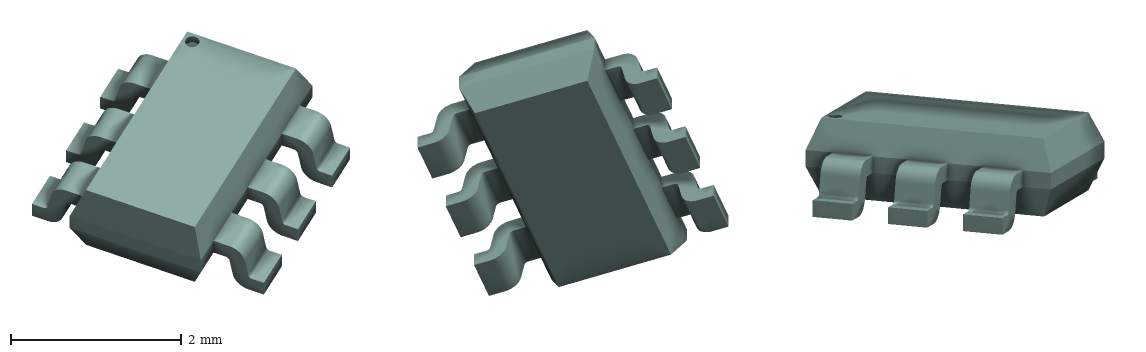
import cadquery as cq
import math

SPAN_X = 3.0
TOTAL_HEIGHT = 1.0

BODY_WIDTH = 1.7
BODY_LENGTH = 3.1
STANDOFF = 0.06
BODY_HEIGHT = TOTAL_HEIGHT - STANDOFF
TAPER_INSET = 0.145

MARK_DIAMETER = 0.17
MARK_DEPTH = 0.1
MARK_INSET = 0.27

LEAD_THICKNESS = 0.2
LEG_THICKNESS = 0.21
LEAD_WIDTH = 0.5
LEAD_PITCH = 0.95
LEADS_PER_SIDE = 3
SHOULDER_LENGTH = 0.198
LEG_TILT = math.radians(11)
OUTER_BEND_RADIUS = 0.205
INNER_BEND_RADIUS = 0.05

BAND_BOTTOM = STANDOFF + (BODY_HEIGHT - LEAD_THICKNESS) / 2
BAND_TOP = BAND_BOTTOM + LEAD_THICKNESS
TAPER_HEIGHT = TOTAL_HEIGHT - BAND_TOP
TAPER_ANGLE = math.degrees(math.atan(TAPER_INSET / TAPER_HEIGHT))


def body_layer(base_z, height, taper=0):
    """Full-size rectangle at base_z, extruded by height (negative is down)."""
    return (
        cq.Workplane("XY", origin=(0, 0, base_z))
        .rect(BODY_WIDTH, BODY_LENGTH)
        .extrude(height, taper=taper)
    )


def make_body():
    band = body_layer(BAND_BOTTOM, LEAD_THICKNESS)
    upper = body_layer(BAND_TOP, TAPER_HEIGHT, TAPER_ANGLE)
    lower = body_layer(BAND_BOTTOM, -TAPER_HEIGHT, TAPER_ANGLE)
    mark_x = -BODY_WIDTH / 2 + MARK_INSET
    mark_y = BODY_LENGTH / 2 - MARK_INSET
    mark = (
        cq.Workplane("XY", origin=(mark_x, mark_y, TOTAL_HEIGHT))
        .circle(MARK_DIAMETER / 2)
        .extrude(-MARK_DEPTH)
    )
    return band.union(upper).union(lower).cut(mark)


def make_lead(side, y):
    """One lead on the +X (side = 1) or -X (side = -1) wall, centred at y."""
    wall_x = BODY_WIDTH / 2
    tip_x = SPAN_X / 2
    leg_run = BAND_BOTTOM * math.tan(LEG_TILT)
    corner_offset = LEG_THICKNESS / math.cos(LEG_TILT) - LEAD_THICKNESS * math.tan(LEG_TILT)

    shoulder_inner_x = wall_x + SHOULDER_LENGTH
    shoulder_outer_x = shoulder_inner_x + corner_offset
    foot_outer_x = shoulder_inner_x + leg_run
    foot_inner_x = shoulder_outer_x + leg_run

    profile = [
        (wall_x, BAND_TOP),
        (shoulder_outer_x, BAND_TOP),
        (foot_inner_x, LEAD_THICKNESS),
        (tip_x, LEAD_THICKNESS),
        (tip_x, 0),
        (foot_outer_x, 0),
        (shoulder_inner_x, BAND_BOTTOM),
        (wall_x, BAND_BOTTOM),
    ]
    lead = (
        cq.Workplane("XZ", origin=(0, y, 0))
        .polyline([(side * x, z) for x, z in profile])
        .close()
        .extrude(LEAD_WIDTH / 2, both=True)
    )

    bends = [
        (shoulder_outer_x, BAND_TOP, OUTER_BEND_RADIUS),
        (shoulder_inner_x, BAND_BOTTOM, INNER_BEND_RADIUS),
        (foot_outer_x, 0, OUTER_BEND_RADIUS),
        (foot_inner_x, LEAD_THICKNESS, INNER_BEND_RADIUS),
    ]
    for x, z, radius in bends:
        corner = cq.selectors.NearestToPointSelector((side * x, y, z))
        lead = lead.edges("|Y").edges(corner).fillet(radius)
    return lead


body = make_body().solids()

leads = []
for side in (-1, 1):
    for index in range(LEADS_PER_SIDE):
        lead_y = (index - (LEADS_PER_SIDE - 1) / 2) * LEAD_PITCH
        leads.append(make_lead(side, lead_y).solids().val())

result = cq.Compound.makeCompound([body.val(), *leads])